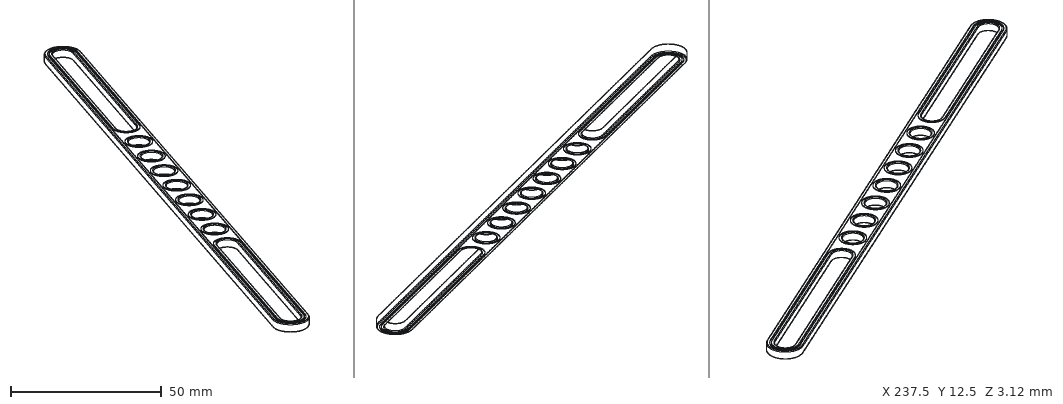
import cadquery as cq

pitch = 12.5
length = 19 * pitch
width = pitch
thickness = pitch / 4

opening_width = 7.0
collar_width = 9.2
hole_count = 7
slot_inner_center = 4 * pitch
slot_outer_center = (length - width) / 2
slot_span = slot_outer_center - slot_inner_center
slot_middle = (slot_outer_center + slot_inner_center) / 2

border_width = (collar_width - opening_width) / 2
recess_depth = 0.2

edge_chamfer = 0.3
chamfer_angle = 45


def bar(inset, height):
    """Round-ended bar, centred on the origin, with its outline moved inwards by `inset`."""
    outline = cq.Workplane("XY").slot2D(length - 2 * inset, width - 2 * inset)
    return outline.extrude(height / 2, both=True)


def openings(shape_width, depth, taper=0):
    """Solids of the hole row and the two end slots, reaching `depth` down from the top face."""
    top = (0, 0, thickness / 2)
    holes = cq.Workplane("XY", origin=top).rarray(pitch, 1, hole_count, 1)
    holes = holes.circle(shape_width / 2).extrude(-depth, taper=taper)
    slots = cq.Workplane("XY", origin=top).pushPoints([(-slot_middle, 0), (slot_middle, 0)])
    slots = slots.slot2D(slot_span + shape_width, shape_width).extrude(-depth, taper=taper)
    return holes.add(slots).combine()


def chamfered_bar():
    """Full-size bar with its outline chamfered at both faces."""
    return bar(0, thickness).faces("<Z or >Z").edges().chamfer(edge_chamfer)


def face_recesses():
    """Shallow pockets on both faces, between the border and the collars."""
    web = bar(0, thickness - 2 * recess_depth)
    return bar(border_width, thickness).cut(web).cut(openings(collar_width, thickness))


def cut_openings(body):
    """Cut the holes and slots through the body and chamfer them at both faces."""
    flares = openings(opening_width + 2 * edge_chamfer, edge_chamfer, chamfer_angle)
    body = body.cut(openings(opening_width, thickness))
    return body.cut(flares).cut(flares.mirror("XY"))


result = cut_openings(chamfered_bar().cut(face_recesses()))